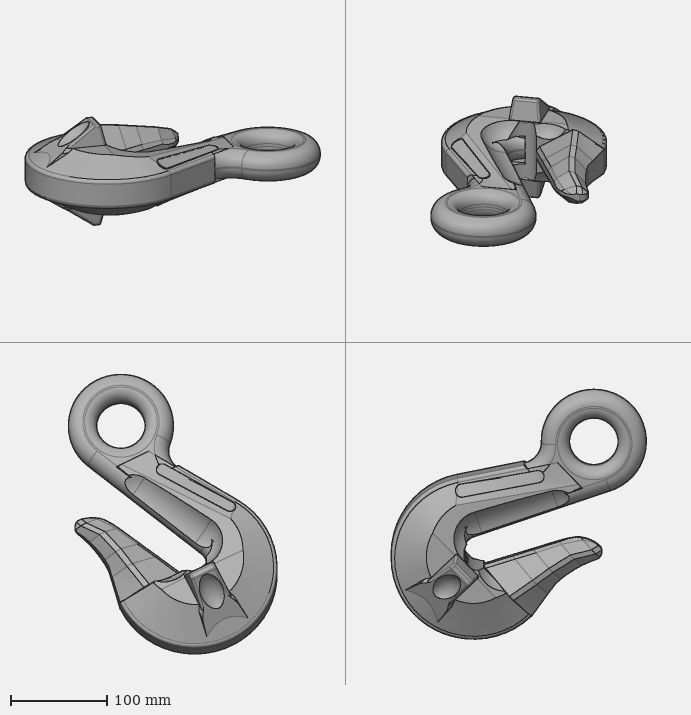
import cadquery as cq
import math

eye_y = 174.0
eye_radius = 54.8
eye_hole_radius = 25.2
half_thickness = 15.7
eye_outer_round = 15.0
eye_hole_round = 12.5

bowl_x = -1.3
bowl_radius = 86.0
rim_round = 3.8

throat_x = -0.5
throat_y = 8.0
throat_radius = 15.5
seat_depth = 17.3
ledge_depth = 14.2

back_angle = math.radians(32.3)
neck_round = 22.0

taper_start_y = 134.5
taper_slope = 0.12
bowl_half_thickness = 33.0
ridge_top = (-19.8, 133.0)
ridge_end = (54.0, 27.0)
plateau_bottom = (12.5, -37.8)
plateau_left = (-50.5, 17.3)

point_swell = (-82.8, 25.8)
point_waist = (-80.0, 42.5)
point_hollow = (-83.0, 66.7)
point_outer = (-91.5, 90.0)
point_tip = (-91.3, 98.2)
point_top = (-85.5, 102.0)
point_crown = (-70.0, 98.2)
point_inner = (-57.0, 86.5)
bowl_leave_angle = math.radians(179)
lip_width = 2.8
lip_edge_share = 1 / 3
edge_margin = 1.5
ridge_width = 6.3
ridge_drop = 1.3
point_sections = [
    (1.0, -87.5, 12.5, -59.8, 32.0, -15.0, 9.5),
    (30.0, -82.0, 10.0, -64.8, 27.5, -29.3, 9.5),
    (50.5, -80.3, 8.2, -68.0, 23.3, -39.5, 9.5),
    (75.5, -85.0, 4.7, -74.0, 17.5, -51.5, 8.0),
    (94.5, -92.8, 2.0, -86.2, 10.0, -64.2, 4.5),
    (102.5, -91.3, 1.3, -88.8, 3.8, -77.0, 2.0),
]

groove_radius = 31.5
groove_axis_z = 41.0
groove_bottom_y = 23.5
groove_top_y = 99.0
point_groove_top_y = 42.5

pad_top = (15.5, 108.5)
pad_bottom = (60.0, 41.2)
pad_radius = 6.3
pad_rise = 1.3

lug_height = 55.0
lug_front_y = -7.0
lug_peak_front_y = -12.3
lug_peak_rear_y = -19.5
lug_rear_y = -76.8
lug_top_half_width = 14.2
lug_base_half_width = 17.0
lug_flare_half_width = 20.0
lug_flare_z = 29.5
lug_rim_half_width = 24.5
lug_foot = 8.0
lug_round = 2.5
dimple_length = 46.5
dimple_width = 24.5
dimple_depth = 7.0
dimple_top_y = -18.3


def polar(center, radius, angle):
    return (center[0] + radius * math.cos(angle), center[1] + radius * math.sin(angle))


eye = (0, eye_y)
bowl = (bowl_x, 0)
throat = (throat_x, throat_y)

center_distance = math.hypot(throat_x, eye_y - throat_y)
shank_angle = math.asin((eye_radius + throat_radius) / center_distance)
shank_top = polar(eye, eye_radius, math.pi + shank_angle)
shank_bottom = polar(throat, throat_radius, shank_angle)
throat_left = polar(throat, throat_radius, math.pi + shank_angle)
throat_lowest = (throat_x, throat_y - throat_radius)
throat_right_middle = polar(throat, throat_radius, (shank_angle - math.pi / 2) / 2)
throat_left_middle = polar(throat, throat_radius, (math.pi + shank_angle + 1.5 * math.pi) / 2)

back_normal = (math.cos(back_angle), math.sin(back_angle))
back_tangent = (back_normal[1], -back_normal[0])
neck_across = bowl_radius + neck_round
eye_along = (eye[0] - bowl[0]) * back_tangent[0] + (eye[1] - bowl[1]) * back_tangent[1]
eye_across = (eye[0] - bowl[0]) * back_normal[0] + (eye[1] - bowl[1]) * back_normal[1]
neck_along = eye_along + math.sqrt((eye_radius + neck_round) ** 2 - (neck_across - eye_across) ** 2)
neck_center = (
    bowl[0] + neck_across * back_normal[0] + neck_along * back_tangent[0],
    bowl[1] + neck_across * back_normal[1] + neck_along * back_tangent[1],
)
neck_eye_angle = math.atan2(neck_center[1] - eye[1], neck_center[0] - eye[0])
neck_top = polar(eye, eye_radius, neck_eye_angle)
neck_bottom = polar(neck_center, neck_round, math.pi + back_angle)
neck_middle = polar(neck_center, neck_round, (math.pi + neck_eye_angle + math.pi + back_angle) / 2)
back_bottom = polar(bowl, bowl_radius, back_angle)
bowl_bottom = (bowl_x, -bowl_radius)
bowl_left = polar(bowl, bowl_radius, bowl_leave_angle)


def shank_point(y, depth):
    """Point at y, the given depth behind the front of the shank."""
    x = shank_top[0] + (shank_top[1] - y) * math.tan(shank_angle) + depth / math.cos(shank_angle)
    return (x, y)


def point_slot_point(y):
    """Point at y on the slot side of the hook point."""
    share = (y - throat_left[1]) / (point_inner[1] - throat_left[1])
    return (throat_left[0] + share * (point_inner[0] - throat_left[0]), y)


def taper_z(y):
    """Half thickness of the tapered shank at y."""
    return half_thickness + taper_slope * (taper_start_y - y)


def midpoint(start, end):
    return ((start[0] + end[0]) / 2, (start[1] + end[1]) / 2)


def fillet_both_sides(body, point, radius):
    """Round the upper and lower edge whose middle is at the point, and the edges that run on from it."""
    upper = cq.selectors.NearestToPointSelector((*point, half_thickness))
    lower = cq.selectors.NearestToPointSelector((*point, -half_thickness))
    return body.edges(upper + lower).fillet(radius)


def make_eye_and_shank():
    """Flat eye with rounded edges, running into the rounded front of the shank and the throat."""
    body = (
        cq.Workplane("XY")
        .workplane(offset=-half_thickness)
        .moveTo(*shank_top)
        .lineTo(*shank_bottom)
        .threePointArc(throat_right_middle, throat_lowest)
        .lineTo(throat_x, throat_lowest[1] - seat_depth)
        .lineTo(*shank_point(throat_lowest[1], 2 * seat_depth))
        .lineTo(*neck_bottom)
        .threePointArc(neck_middle, neck_top)
        .threePointArc((0, eye_y + eye_radius), shank_top)
        .close()
        .extrude(2 * half_thickness)
    )
    body = fillet_both_sides(body, midpoint(shank_top, shank_bottom), eye_outer_round)
    hole = cq.Workplane("XY").center(*eye).circle(eye_hole_radius).extrude(half_thickness, both=True)
    body = body.cut(hole)
    return fillet_both_sides(body, (0, eye_y), eye_hole_round)


def make_rim():
    """Flat core of the bowl and the back, with a rounded outer rim."""
    body = (
        cq.Workplane("XY")
        .workplane(offset=-half_thickness)
        .moveTo(*neck_bottom)
        .lineTo(*back_bottom)
        .threePointArc(bowl_bottom, bowl_left)
        .lineTo(*throat_left)
        .threePointArc(throat_left_middle, throat_lowest)
        .lineTo(throat_x, throat_lowest[1] - seat_depth)
        .lineTo(*shank_point(throat_lowest[1], seat_depth))
        .lineTo(*shank_point(neck_bottom[1], seat_depth))
        .close()
        .extrude(2 * half_thickness)
    )
    return fillet_both_sides(body, midpoint(neck_bottom, back_bottom), rim_round)


def taper_point(x, y):
    return cq.Vector(x, y, taper_z(y))


def make_upper_slopes():
    """Upper side between the rim and the tapered ridge, capped by the flat of the bowl."""
    rim_radius = bowl_radius - rim_round
    end_y = ridge_top[1]
    rim_back = polar(bowl, rim_radius, back_angle)
    back_reach = (end_y - rim_back[1]) / back_tangent[1]
    rim_points = [
        (*shank_point(end_y, ledge_depth), half_thickness),
        (rim_back[0] + back_reach * back_tangent[0], end_y, half_thickness),
        (*rim_back, half_thickness),
        (bowl_x, -rim_radius, half_thickness),
        (*polar(bowl, rim_radius, bowl_leave_angle), half_thickness),
    ]
    ridge_outline = [shank_point(end_y, seat_depth), ridge_top, ridge_end, plateau_bottom, plateau_left]
    ridge_points = [taper_point(*point) for point in ridge_outline]

    def outline(points):
        shank, back, arc_start, arc_middle, arc_end = [cq.Vector(point) for point in points]
        return cq.Wire.assembleEdges(
            [
                cq.Edge.makeLine(shank, back),
                cq.Edge.makeLine(back, arc_start),
                cq.Edge.makeThreePointArc(arc_start, arc_middle, arc_end),
                cq.Edge.makeLine(arc_end, shank),
            ]
        )

    cap_width = 4 * eye_y
    slopes = cq.Workplane(cq.Solid.makeLoft([outline(rim_points), outline(ridge_points)], True))
    cap = cq.Workplane("XY").box(cap_width, cap_width, bowl_half_thickness, centered=(True, True, False))
    throat_gap = (
        cq.Workplane("XY")
        .moveTo(*shank_point(end_y, ledge_depth))
        .lineTo(*shank_point(groove_bottom_y, ledge_depth))
        .lineTo(*shank_bottom)
        .threePointArc(throat_lowest, throat_left)
        .lineTo(*bowl_left)
        .lineTo(bowl_left[0], end_y)
        .close()
        .extrude(2 * bowl_half_thickness)
    )
    return slopes.intersect(cap).cut(throat_gap)


def make_point():
    """Point of the hook: thins toward its end, with a ridge between its outer and slot sides."""
    wires = []
    for y, outer_x, outer_z, ridge_x, ridge_z, slot_x, lip_z in point_sections:
        upper = [
            (outer_x - edge_margin, outer_z),
            (ridge_x, ridge_z - ridge_drop),
            (ridge_x + ridge_width, ridge_z),
            (slot_x - lip_width, lip_z),
            (slot_x + edge_margin, lip_edge_share * lip_z),
        ]
        lower = [(x, -z) for x, z in reversed(upper)]
        corners = [cq.Vector(x, y, z) for x, z in upper + lower]
        wires.append(cq.Wire.makePolygon(corners, close=True))
    envelope = cq.Workplane(cq.Solid.makeLoft(wires, True))
    outline = (
        cq.Workplane("XY")
        .workplane(offset=-bowl_half_thickness)
        .moveTo(*throat_left)
        .lineTo(*point_inner)
        .threePointArc(point_crown, point_top)
        .threePointArc(point_tip, point_outer)
        .threePointArc(point_hollow, point_waist)
        .threePointArc(point_swell, bowl_left)
        .lineTo(bowl_left[0], 0)
        .lineTo(throat_left[0], 0)
        .close()
        .extrude(2 * bowl_half_thickness)
    )
    return envelope.intersect(outline)


def make_groove(top, bottom):
    """Round-ended cutter that hollows the side of the throat for a chain link."""
    length = math.dist(top, bottom)
    axis = cq.Plane(
        origin=(*bottom, groove_axis_z),
        xDir=(0, 0, 1),
        normal=(top[0] - bottom[0], top[1] - bottom[1], 0),
    )
    cutter = cq.Workplane(axis).circle(groove_radius).extrude(length)
    for end in (top, bottom):
        cutter = cutter.union(cq.Workplane("XY").sphere(groove_radius).translate((*end, groove_axis_z)))
    return cutter


def make_pad(slopes):
    """Raised round-ended pad whose top follows the slope of the back."""
    length = math.dist(pad_top, pad_bottom)
    angle = math.degrees(math.atan2(pad_top[1] - pad_bottom[1], pad_top[0] - pad_bottom[0]))
    pad = (
        cq.Workplane("XY")
        .center(*midpoint(pad_top, pad_bottom))
        .transformed(rotate=(0, 0, angle))
        .slot2D(length + 2 * pad_radius, 2 * pad_radius)
        .extrude(2 * bowl_half_thickness)
    )
    return pad.intersect(slopes.translate((0, 0, pad_rise)))


def make_lug():
    """Wedge-shaped lug, steep toward the throat and running down to the rim behind."""
    profile = (
        cq.Workplane("YZ")
        .moveTo(lug_front_y - lug_foot, 0)
        .lineTo(lug_front_y, bowl_half_thickness)
        .lineTo(lug_peak_front_y, lug_height)
        .lineTo(lug_peak_rear_y, lug_height)
        .lineTo(lug_rear_y, half_thickness)
        .lineTo(lug_rear_y, 0)
        .close()
        .extrude(lug_rim_half_width, both=True)
    )
    flanks = (
        cq.Workplane("XZ")
        .moveTo(0, 0)
        .lineTo(lug_rim_half_width, 0)
        .lineTo(lug_rim_half_width, half_thickness)
        .lineTo(lug_flare_half_width, lug_flare_z)
        .lineTo(lug_base_half_width, bowl_half_thickness)
        .lineTo(lug_top_half_width, lug_height)
        .lineTo(0, lug_height)
        .mirrorY()
        .extrude(bowl_radius)
    )
    lug = profile.intersect(flanks)
    above_bowl = cq.selectors.BoxSelector(
        (-lug_rim_half_width, -bowl_radius, bowl_half_thickness + lug_round),
        (lug_rim_half_width, 0, lug_height + lug_round),
    )
    return lug.edges(above_bowl).fillet(lug_round)


def make_dimple():
    """Spindle-shaped cutter lying along the rear slope of the lug."""
    slope = math.atan2(lug_height - half_thickness, lug_peak_rear_y - lug_rear_y)
    rise = ((dimple_width / 2) ** 2 - dimple_depth**2) / (2 * dimple_depth)
    radius = rise + dimple_depth
    along = (-math.cos(slope), -math.sin(slope))
    outward = (-math.sin(slope), math.cos(slope))
    top_z = lug_height + (dimple_top_y - lug_peak_rear_y) * math.tan(slope)
    center = (
        dimple_top_y + along[0] * dimple_length / 2 + outward[0] * rise,
        top_z + along[1] * dimple_length / 2 + outward[1] * rise,
    )
    plane = cq.Plane(origin=(0, *center), xDir=(0, *along), normal=(1, 0, 0))
    half_length = dimple_length / 2 / math.sqrt(1 - (rise / radius) ** 2)
    return (
        cq.Workplane(plane)
        .moveTo(-half_length, 0)
        .threePointArc((0, radius), (half_length, 0))
        .close()
        .revolve(360, (0, 0, 0), (1, 0, 0))
    )


def both_sides(upper):
    return upper.union(upper.mirror("XY"))


front_groove = make_groove(shank_point(groove_top_y, 0), shank_point(groove_bottom_y, 0))
point_groove = make_groove(point_slot_point(point_groove_top_y), point_slot_point(groove_bottom_y))

slopes = make_upper_slopes()
upper = slopes.union(make_pad(slopes)).cut(front_groove).cut(point_groove)
upper = upper.union(make_lug()).cut(make_dimple())

core = make_eye_and_shank().union(make_rim())
core = core.cut(both_sides(front_groove)).cut(both_sides(point_groove))

result = core.union(both_sides(upper)).union(make_point())